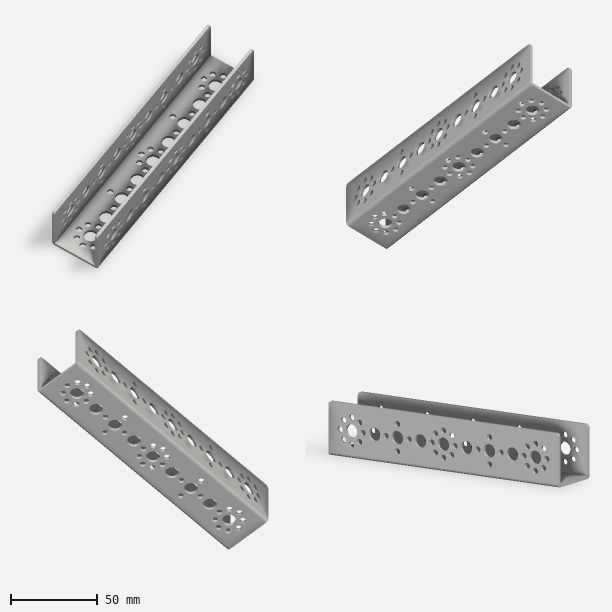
import cadquery as cq

length = 160.0
width = 32.0
height = 32.0
inner_width = 28.0
wall = (width - inner_width) / 2
bend_radius = wall
corner_radius = wall

pitch = length / 10
bore_diameter = 8.0
small_diameter = 3.7
ring_radius = pitch / 2
ring_hole_count = 8
cross_hole_count = 4

bore_stations = [step * pitch for step in range(-4, 5)]
ring_stations = [-4 * pitch, 0, 4 * pitch]
cross_stations = [-2 * pitch, 2 * pitch]


def channel_body():
    """U-channel with rounded outer bends and rounded upper flange corners."""
    block = cq.Workplane("XY").box(width, length, height, centered=(True, True, False))
    block = block.edges("|Y and <Z").fillet(bend_radius)
    cavity = (
        cq.Workplane("XY")
        .workplane(offset=wall)
        .box(inner_width, length, height, centered=(True, True, False))
    )
    return block.cut(cavity).faces(">Z").edges("|X").fillet(corner_radius)


def hole_circle(plane, station, count):
    """Small holes evenly spaced around the bore at one station."""
    return (
        plane.center(station, 0)
        .polarArray(ring_radius, 0, 360, count)
        .circle(small_diameter / 2)
        .extrude(width, both=True)
    )


def hole_pattern(plane):
    """Cutters for the whole pattern; local x of the plane runs along the channel."""
    cutters = (
        plane.pushPoints([(station, 0) for station in bore_stations])
        .circle(bore_diameter / 2)
        .extrude(width, both=True)
    )
    for station in ring_stations:
        cutters = cutters.union(hole_circle(plane, station, ring_hole_count))
    for station in cross_stations:
        cutters = cutters.union(hole_circle(plane, station, cross_hole_count))
    return cutters


flange_plane = cq.Workplane(cq.Plane(origin=(0, 0, height / 2), xDir=(0, 1, 0), normal=(1, 0, 0)))
base_plane = cq.Workplane(cq.Plane(origin=(0, 0, 0), xDir=(0, 1, 0), normal=(0, 0, 1)))

result = channel_body().cut(hole_pattern(flange_plane)).cut(hole_pattern(base_plane))